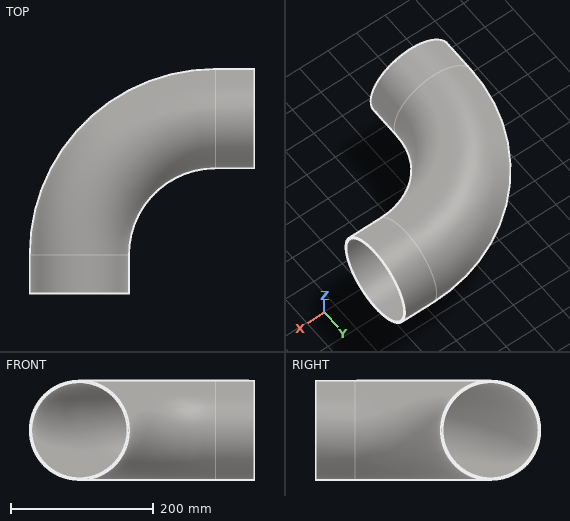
import cadquery as cq

overall_length = 315.5
outer_diameter = 139.7
inner_diameter = 134.5
straight_length = 55.0

bend_radius = overall_length - straight_length - outer_diameter / 2
bend_angle = 90


def elbow(diameter):
    """Solid 90 degree elbow with straight ends opening toward -Y and +X.

    The bend starts at the origin, travels along +Y and turns toward +X.
    """
    inlet = cq.Workplane("XZ").circle(diameter / 2).extrude(straight_length)
    bend = (
        cq.Workplane("XZ")
        .circle(diameter / 2)
        .revolve(bend_angle, (bend_radius, 0, 0), (bend_radius, -1, 0))
    )
    outlet = (
        cq.Workplane("YZ", origin=(bend_radius, bend_radius, 0))
        .circle(diameter / 2)
        .extrude(straight_length)
    )
    return inlet.union(bend).union(outlet)


result = elbow(outer_diameter).cut(elbow(inner_diameter))